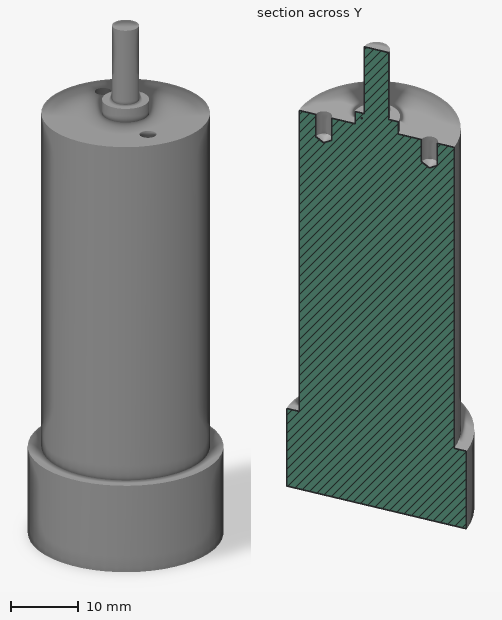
import cadquery as cq
import math

base_diameter = 29.0
base_height = 14.0
body_diameter = 25.0
body_height = 54.0
boss_diameter = 7.0
boss_height = 2.2
shaft_diameter = 4.0
shaft_length = 12.0

hole_diameter = 2.5
hole_depth = 4.0
hole_tip_angle = 118.0
hole_spacing = 17.0


def stack_cylinders(steps):
    """Build coaxial cylinders, each standing on the one before."""
    stack = cq.Workplane("XY").circle(steps[0][0] / 2).extrude(steps[0][1])
    for diameter, height in steps[1:]:
        stack = stack.faces(">Z").workplane().circle(diameter / 2).extrude(height)
    return stack


def drill_cutter(x):
    """Cutter with a conical tip, reaching down from the body's end face at the given X."""
    radius = hole_diameter / 2
    tip_depth = hole_depth + radius / math.tan(math.radians(hole_tip_angle / 2))
    half_section = (
        cq.Workplane("XZ")
        .moveTo(0, 0)
        .lineTo(radius, 0)
        .lineTo(radius, -hole_depth)
        .lineTo(0, -tip_depth)
        .close()
    )
    cutter = half_section.revolve(360, (0, 0, 0), (0, 1, 0))
    return cutter.translate((x, 0, base_height + body_height))


motor = stack_cylinders([
    (base_diameter, base_height),
    (body_diameter, body_height),
    (boss_diameter, boss_height),
    (shaft_diameter, shaft_length),
])
for side in (-1, 1):
    motor = motor.cut(drill_cutter(side * hole_spacing / 2))

result = motor